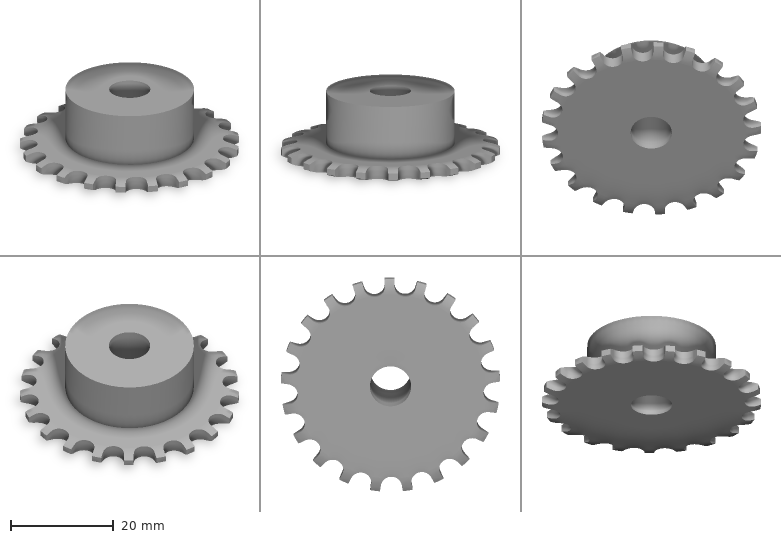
import cadquery as cq
import math

tooth_count = 21
overall_width = 42.6
plate_thickness = 2.6
total_height = 13.0
hub_diameter = 25.0
bore_diameter = 8.0

chain_pitch = 6.0
seat_radius = 2.05

crown_start_radius = 18.45
crown_depth = 0.7

half_tooth_angle = math.pi / tooth_count
pitch_radius = chain_pitch / 2 / math.sin(half_tooth_angle)
cut_overshoot = 0.85

half_tip_width = chain_pitch / 2 - seat_radius
side_tooth_tilt = half_tooth_angle / 2
tip_distance = (
    overall_width / 2 - half_tip_width * math.sin(side_tooth_tilt)
) / math.cos(side_tooth_tilt)
tip_radius = math.hypot(tip_distance, half_tip_width)


def crowned_plate():
    """Disc turned from a half section whose rim is rounded on both faces."""
    crown_run = tip_radius - crown_start_radius
    arc_radius = (crown_run**2 + crown_depth**2) / (2 * crown_depth)
    half_sweep = math.asin(crown_run / arc_radius) / 2
    mid_radius = crown_start_radius + arc_radius * math.sin(half_sweep)
    mid_drop = arc_radius * (1 - math.cos(half_sweep))
    return (
        cq.Workplane("XZ")
        .lineTo(crown_start_radius, 0)
        .threePointArc((mid_radius, mid_drop), (tip_radius, crown_depth))
        .lineTo(tip_radius, plate_thickness - crown_depth)
        .threePointArc(
            (mid_radius, plate_thickness - mid_drop),
            (crown_start_radius, plate_thickness),
        )
        .lineTo(0, plate_thickness)
        .close()
        .revolve(360, (0, 0, 0), (0, 1, 0))
    )


def tooth_gap():
    """Roller seat on the +X axis, with flanks parallel to the teeth beside it."""
    sine = math.sin(half_tooth_angle)
    cosine = math.cos(half_tooth_angle)
    seat_x = pitch_radius - seat_radius * sine
    seat_y = seat_radius * cosine
    flank_length = tip_radius + cut_overshoot - pitch_radius
    mouth_x = seat_x + flank_length * cosine
    mouth_y = seat_y + flank_length * sine
    return (
        cq.Workplane("XY")
        .moveTo(mouth_x, -mouth_y)
        .lineTo(seat_x, -seat_y)
        .threePointArc((pitch_radius - seat_radius, 0), (seat_x, seat_y))
        .lineTo(mouth_x, mouth_y)
        .close()
        .extrude(plate_thickness)
    )


wheel = crowned_plate()
gap = tooth_gap()
for index in range(tooth_count):
    gap_angle = -90 + index * 360 / tooth_count
    wheel = wheel.cut(gap.rotate((0, 0, 0), (0, 0, 1), gap_angle))

hub = cq.Workplane("XY").circle(hub_diameter / 2).extrude(total_height)
bore = cq.Workplane("XY").circle(bore_diameter / 2).extrude(total_height)

result = wheel.union(hub).cut(bore)